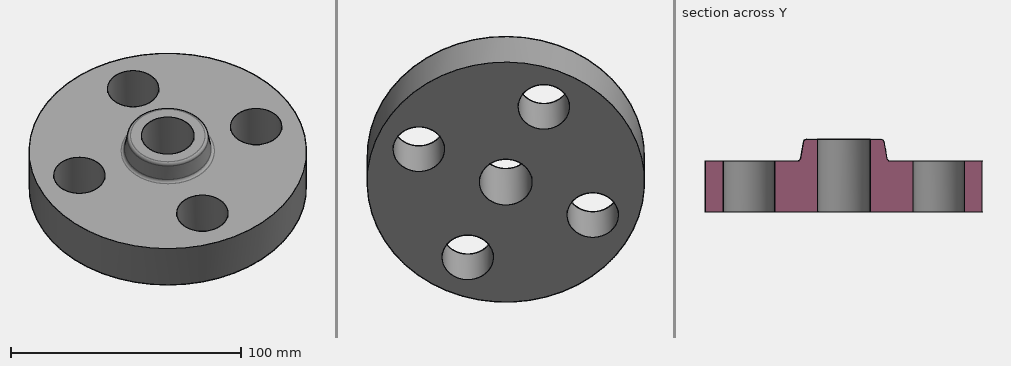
import cadquery as cq
import math

FLANGE_DIAMETER = 120.6
FLANGE_THICKNESS = 22.3

TOTAL_HEIGHT = 31.7
HUB_BASE_DIAMETER = 38.1
HUB_TAPER_ANGLE = 10.0
HUB_FILLET = 1.5

BORE_DIAMETER = 22.9
BOLT_HOLE_DIAMETER = 22.3
BOLT_CIRCLE_DIAMETER = 82.5
BOLT_HOLE_COUNT = 4

hub_height = TOTAL_HEIGHT - FLANGE_THICKNESS
hub_base_radius = HUB_BASE_DIAMETER / 2
hub_top_radius = hub_base_radius - hub_height * math.tan(math.radians(HUB_TAPER_ANGLE))


def make_blank():
    """Solid of revolution: flat disc with a tapered hub on top."""
    flange_radius = FLANGE_DIAMETER / 2
    outline = [
        (0, 0),
        (flange_radius, 0),
        (flange_radius, FLANGE_THICKNESS),
        (hub_base_radius, FLANGE_THICKNESS),
        (hub_top_radius, TOTAL_HEIGHT),
        (0, TOTAL_HEIGHT),
    ]
    return cq.Workplane("XZ").polyline(outline).close().revolve(360, (0, 0, 0), (0, 1, 0))


def round_hub(body):
    """Round the hub's rim and blend its foot into the disc."""
    rim = cq.selectors.RadiusNthSelector(0)
    foot = cq.selectors.RadiusNthSelector(1)
    return body.edges("%CIRCLE").edges(rim + foot).fillet(HUB_FILLET)


def cut_openings(body):
    """Cut the central bore and the ring of bolt holes through the part."""
    bore = cq.Workplane("XY").circle(BORE_DIAMETER / 2).extrude(TOTAL_HEIGHT)
    bolt_holes = (
        cq.Workplane("XY")
        .polarArray(BOLT_CIRCLE_DIAMETER / 2, 0, 360, BOLT_HOLE_COUNT)
        .circle(BOLT_HOLE_DIAMETER / 2)
        .extrude(FLANGE_THICKNESS)
    )
    return body.cut(bore).cut(bolt_holes)


result = cut_openings(round_hub(make_blank()))